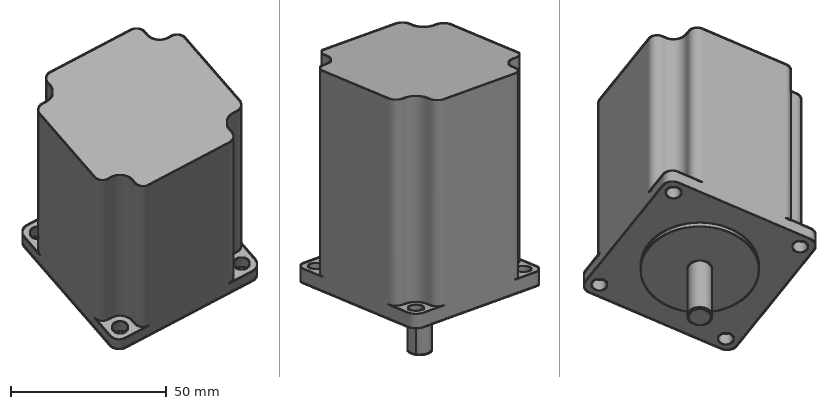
import cadquery as cq

width = 56.4
total_height = 101.0
shaft_length = 24.0
flange_thickness = 5.0
flange_corner_radius = 3.5

hole_pitch = 47.2
hole_diameter = 5.0

relief_size = 9.4
relief_inner_radius = 4.8
body_edge_radius = 3.1

pilot_diameter = 38.1
pilot_height = 1.8
shaft_diameter = 8.0
tip_chamfer = 0.4
flat_length = 20.0
flat_depth = 0.5

flange_top = shaft_length + flange_thickness


def make_flange():
    """Square mounting flange with rounded corners and four through holes."""
    return (
        cq.Workplane("XY", origin=(0, 0, shaft_length))
        .rect(width, width)
        .extrude(flange_thickness)
        .edges("|Z")
        .fillet(flange_corner_radius)
        .faces(">Z")
        .workplane()
        .rect(hole_pitch, hole_pitch, forConstruction=True)
        .vertices()
        .hole(hole_diameter)
    )


def make_body():
    """Square housing whose corners are cut back to clear the mounting screws."""
    height = total_height - flange_top
    relief = (
        cq.Workplane("XY", origin=(0, 0, flange_top))
        .rect(width, width, forConstruction=True)
        .vertices()
        .rect(2 * relief_size, 2 * relief_size)
        .extrude(height)
        .edges("|Z")
        .fillet(relief_inner_radius)
    )
    body = (
        cq.Workplane("XY", origin=(0, 0, flange_top))
        .rect(width, width)
        .extrude(height)
        .cut(relief)
    )
    outer_edges = body.faces("<X or >X or <Y or >Y").edges("|Z")
    return outer_edges.fillet(body_edge_radius)


def make_pilot():
    """Shallow round locating boss under the flange."""
    return (
        cq.Workplane("XY", origin=(0, 0, shaft_length))
        .circle(pilot_diameter / 2)
        .extrude(-pilot_height)
    )


def make_shaft():
    """Output shaft with a chamfered tip and a flat facing +Y."""
    shaft = (
        cq.Workplane("XY")
        .circle(shaft_diameter / 2)
        .extrude(shaft_length)
        .faces("<Z")
        .chamfer(tip_chamfer)
    )
    flat_cut = (
        cq.Workplane("XY", origin=(0, shaft_diameter / 2 - flat_depth, 0))
        .box(shaft_diameter, shaft_diameter, flat_length, centered=(True, False, False))
    )
    return shaft.cut(flat_cut)


result = make_flange().union(make_body()).union(make_pilot()).union(make_shaft())